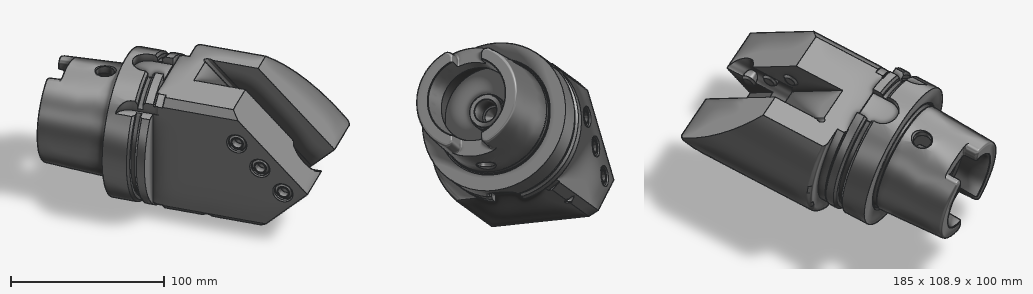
import cadquery as cq
import math


overall_length = 185.0
shank_length = 50.0
tip_x = overall_length - shank_length
tip_z = -9.6

shank_big_radius = 37.7
shank_small_radius = 35.3
shank_end_round = 1.7
relief_length = 2.2
relief_depth = 1.0
relief_face_radius = 39.4

mouth_radius = 27.4
bore_radius = 53.8 / 2
lip_radius = 50.1 / 2
lip_depth = 19.5
undercut_radius = 63.0 / 2
undercut_cone_angle = 60.0
bore_floor_x = -6.5
boss_diameter = 24.0
boss_height = 8.9
boss_nose_diameter = 22.2
boss_nose_height = 3.1
thread_mouth_diameter = 16.0
thread_diameter = 15.4
thread_depth = 14.8
drill_diameter = 12.0
cross_hole_diameter = 12.0
cross_hole_sink_base = 36.0
cross_hole_sink_angle = 45.0
cross_hole_x = -14.5

drive_half_width = 9.8
drive_corner_radius = 4.0
drive_end_round = 1.3
drive_end_margin = 2.8
upper_drive_depth = 10.0
lower_drive_depth = 15.0

flange_radius = 100.0 / 2
flange_width = 29.0
groove_radius = 92.0 / 2
groove_start = 16.6
groove_end = 23.5
groove_bevel = 1.7
key_radius = 10.0
key_center_x = 15.0
key_floor_z = 44.0
notch_end_center_x = 30.0
notch_wall_y = -31.6
notch_floor_z = 31.5

neck_radius = 49.4
neck_groove_radius = 48.8
neck_groove_width = 1.1
head_radius = 117.8 / 2
head_start = 35.5
head_round = 2.8
head_half_height = 43.0
head_front_y = -32.0
head_chamfer = 4.8

pocket_depth = 25.0
pocket_back_y = 24.8
pocket_front_y = -1.8
corner_relief_radius = 2.0
corner_relief_inset = 1.1
corner_relief_rise = 1.02

coolant_diameter = 20.0
coolant_start = 85.5
screw_pitch = 22.4
screw_diameter = 10.5
screw_hole_diameter = 12.0
screw_hole_mouth = 13.9
middle_screw = (102.3, 4.3)
screw_tip_height = 1.5
screw_recess = 2.5
screw_nose_diameter = 8.5
socket_diameter = 7.0
socket_depth = 5.5

plug_x = 65.3
plug_y = -28.0
plug_diameter = 7.0
plug_inner_diameter = 5.2
plug_depth = 1.0
plug_inner_depth = 4.6

edge_tolerance = 0.2
drill_point_angle = 118.0
far = overall_length
x_axis = ((0, 0), (1, 0))


def turn(points):
    """Solid of revolution about X from (x, radius) corners."""
    return cq.Workplane("XY").polyline(points).close().revolve(360, *x_axis)


def block(x0, x1, y0, y1, z0, z1):
    """Box between two limits on each axis."""
    return cq.Workplane("XY").box(x1 - x0, y1 - y0, z1 - z0, centered=False).translate((x0, y0, z0))


def drill_tip(diameter):
    """Height of a drill point of the given diameter."""
    return diameter / 2 / math.tan(math.radians(drill_point_angle / 2))


def make_shank_and_flange():
    shank_end = -shank_length
    bevel_radius = flange_radius - groove_bevel
    return (
        cq.Workplane("XY")
        .moveTo(shank_end, 0)
        .lineTo(shank_end, shank_small_radius)
        .lineTo(-relief_length, shank_big_radius)
        .lineTo(-relief_length + relief_depth, shank_big_radius - relief_depth)
        .lineTo(relief_depth, shank_big_radius)
        .lineTo(relief_depth, relief_face_radius - relief_depth)
        .lineTo(0, relief_face_radius)
        .lineTo(0, flange_radius)
        .lineTo(groove_start, flange_radius)
        .lineTo(groove_start + groove_bevel, bevel_radius)
        .lineTo(groove_start + groove_bevel, groove_radius)
        .lineTo(groove_end - groove_bevel, groove_radius)
        .lineTo(groove_end - groove_bevel, bevel_radius)
        .lineTo(groove_end, flange_radius)
        .lineTo(flange_width, flange_radius)
        .lineTo(flange_width, 0)
        .close()
        .revolve(360, *x_axis)
    )


def make_head():
    neck = turn([
        (flange_width, 0),
        (flange_width, neck_groove_radius),
        (flange_width + neck_groove_width, neck_groove_radius),
        (flange_width + neck_groove_width, neck_radius),
        (head_start, neck_radius),
        (head_start, 0),
    ])
    barrel = (
        cq.Workplane("YZ", origin=(head_start, 0, 0))
        .circle(head_radius)
        .extrude(tip_x - head_start)
        .edges()
        .fillet(head_round)
    )
    section = (
        block(flange_width, tip_x, head_front_y, head_radius, -head_half_height, head_half_height)
        .edges("|X and <Y")
        .chamfer(head_chamfer)
    )
    upper_x = tip_x - (head_half_height - tip_z)
    lower_x = tip_x - (head_half_height + tip_z)
    pointed = (
        cq.Workplane("XZ")
        .polyline([
            (flange_width, head_half_height),
            (upper_x, head_half_height),
            (tip_x, tip_z),
            (lower_x, -head_half_height),
            (flange_width, -head_half_height),
        ])
        .close()
        .extrude(far, both=True)
    )
    return neck.union(barrel).intersect(section).intersect(pointed)


def cut_keyways(body):
    for side in (1, -1):
        keyway = (
            cq.Workplane("XY", origin=(key_center_x, 0, side * key_floor_z))
            .circle(key_radius)
            .extrude(side * far)
        )
        z_low, z_high = sorted((side * key_floor_z, side * far))
        run_out = block(key_center_x, flange_width, -key_radius, key_radius, z_low, z_high)
        body = body.cut(keyway.union(run_out))
    return body


def cut_notch(body):
    """Orientation notch: a round-ended slot along X beside the flange rim."""
    length = notch_end_center_x - key_center_x + 2 * key_radius
    middle_x = (key_center_x + notch_end_center_x) / 2
    notch = (
        cq.Workplane("XY", origin=(middle_x, notch_wall_y - key_radius, notch_floor_z))
        .slot2D(length, 2 * key_radius)
        .extrude(far)
    )
    return body.cut(notch)


def cut_shank_bore(body):
    mouth_x = -shank_length
    lip_x = mouth_x + lip_depth
    cone_run = (undercut_radius - lip_radius) / math.tan(math.radians(undercut_cone_angle))
    boss_x = bore_floor_x - boss_height
    boss_radius = boss_diameter / 2
    nose_radius = boss_nose_diameter / 2
    nose_base_x = boss_x + boss_nose_height
    thread_radius = thread_diameter / 2
    thread_chamfer = (thread_mouth_diameter - thread_diameter) / 2
    thread_end = boss_x + thread_depth
    drill_radius = drill_diameter / 2
    bore = turn([
        (mouth_x, 0),
        (mouth_x, mouth_radius),
        (mouth_x + mouth_radius - bore_radius, bore_radius),
        (lip_x, lip_radius),
        (lip_x + cone_run, undercut_radius),
        (bore_floor_x, undercut_radius),
        (bore_floor_x, boss_radius),
        (nose_base_x, boss_radius),
        (nose_base_x, nose_radius),
        (boss_x, nose_radius),
        (boss_x, thread_radius + thread_chamfer),
        (boss_x + thread_chamfer, thread_radius),
        (thread_end, thread_radius),
        (thread_end, drill_radius),
        (thread_end + drill_tip(drill_diameter), 0),
    ])
    body = body.cut(bore)
    for side in (1, -1):
        cross_hole = (
            cq.Workplane("XY", origin=(cross_hole_x, 0, side * mouth_radius))
            .circle(cross_hole_diameter / 2)
            .extrude(side * mouth_radius)
        )
        sink_height = shank_big_radius - cross_hole_sink_base
        sink = (
            cq.Workplane("XY", origin=(cross_hole_x, 0, side * cross_hole_sink_base))
            .circle(cross_hole_diameter / 2)
            .extrude(side * sink_height, taper=-cross_hole_sink_angle)
        )
        body = body.cut(cross_hole).cut(sink)
    return body


def cut_drive_slots(body):
    """Two slots across the mouth, with rounded lands between them."""
    mouth_x = -shank_length
    for side, depth in ((1, upper_drive_depth), (-1, lower_drive_depth)):
        z_low, z_high = sorted((0, side * far))
        end_x = mouth_x + depth
        slot = block(mouth_x, end_x, -drive_half_width, drive_half_width, z_low, z_high)
        body = body.cut(slot)
        for wall in (1, -1):
            outer_corner = (mouth_x + depth / 2, wall * drive_half_width, side * shank_small_radius)
            corner_edge = cq.selectors.NearestToPointSelector(outer_corner)
            body = body.edges(corner_edge).fillet(drive_corner_radius)
        inner_edge_z = shank_small_radius - drive_end_margin
        z_low, z_high = sorted((side * drive_end_margin, side * inner_edge_z))
        for y_low, y_high in ((-far, -drive_half_width / 2), (drive_half_width / 2, far)):
            wall_ends = cq.selectors.BoxSelector(
                (end_x - edge_tolerance, y_low, z_low),
                (end_x + edge_tolerance, y_high, z_high),
            )
            body = body.edges(wall_ends).fillet(drive_end_round)
    return body.faces("<X").edges().fillet(shank_end_round)


def cut_tool_pocket(body):
    across = cq.Plane(origin=(tip_x, 0, tip_z), xDir=(0, 1, 0), normal=(1, 0, -1))
    pocket_width = pocket_back_y - pocket_front_y
    pocket_middle_y = (pocket_back_y + pocket_front_y) / 2
    channel = (
        cq.Workplane(across)
        .center(pocket_middle_y, 0)
        .rect(pocket_width, 2 * pocket_depth)
        .extrude(far, both=True)
    )
    relief = (
        cq.Workplane(across)
        .center(pocket_back_y - corner_relief_inset, corner_relief_rise - pocket_depth)
        .circle(corner_relief_radius)
        .extrude(far, both=True)
    )
    return body.cut(channel).cut(relief)


def cut_coolant_bore(body):
    bore = (
        cq.Workplane("YZ", origin=(coolant_start, 0, 0))
        .circle(coolant_diameter / 2)
        .extrude(far)
    )
    return body.cut(bore)


def add_screw(body, x, z):
    """Set screw along Y: bevelled tip in the pocket, socket in a recess at the front."""
    screw_radius = screw_diameter / 2
    hole_radius = screw_hole_diameter / 2
    mouth = screw_hole_mouth / 2
    nose = screw_nose_diameter / 2
    socket = socket_diameter / 2
    recess_y = head_front_y + screw_recess
    nose_y = recess_y - (hole_radius - nose)
    socket_y = nose_y + socket_depth
    tip_y = pocket_front_y + screw_tip_height
    screw = [
        (0, recess_y),
        (screw_radius, recess_y),
        (screw_radius, pocket_front_y),
        (screw_radius - screw_tip_height, tip_y),
        (0, tip_y),
    ]
    recess = [
        (0, head_front_y),
        (mouth, head_front_y),
        (hole_radius, head_front_y + mouth - hole_radius),
        (hole_radius, recess_y),
        (nose, nose_y),
        (socket, nose_y),
        (socket, socket_y),
        (0, socket_y + drill_tip(socket_diameter)),
    ]
    added, removed = [
        cq.Workplane("XY").polyline(outline).close().revolve(360, (0, 0), (0, 1)).translate((x, 0, z))
        for outline in (screw, recess)
    ]
    return body.union(added).cut(removed)


def cut_plug_hole(body):
    """Stepped hole up from the underside, on the edge of the front chamfer."""
    bottom = cq.Workplane("XY", origin=(plug_x, plug_y, -head_half_height))
    outer = bottom.circle(plug_diameter / 2).extrude(plug_depth)
    inner = bottom.circle(plug_inner_diameter / 2).extrude(plug_inner_depth)
    return body.cut(outer).cut(inner)


body = make_shank_and_flange()
body = cut_drive_slots(body)
body = cut_keyways(body)
body = body.union(make_head())
body = cut_notch(body)
body = cut_shank_bore(body)
body = cut_tool_pocket(body)
body = cut_coolant_bore(body)
screw_step = screw_pitch / math.sqrt(2)
for index in (-1, 0, 1):
    body = add_screw(body, middle_screw[0] + index * screw_step, middle_screw[1] - index * screw_step)
body = cut_plug_hole(body)

result = body